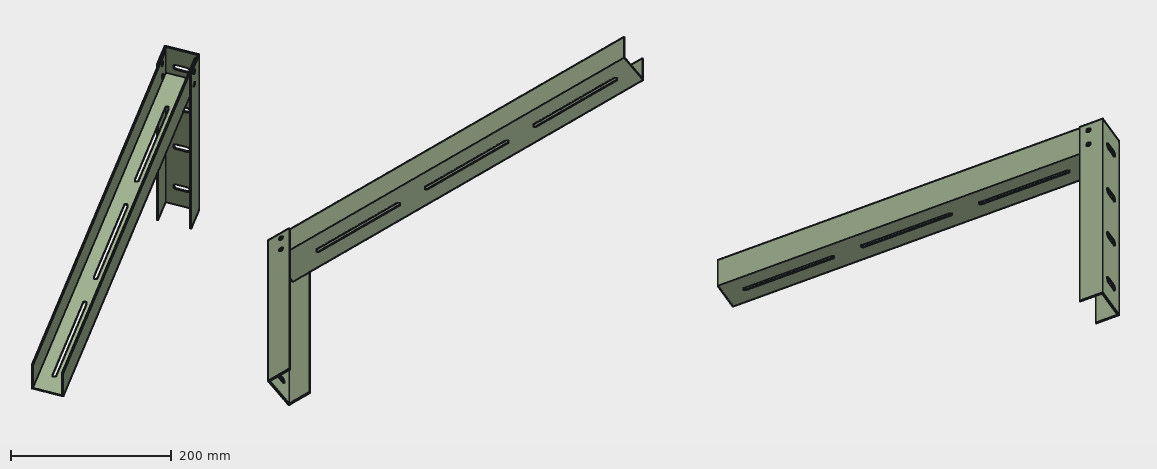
import cadquery as cq

INCH = 25.4
CUT_MARGIN = 5.0

bracket_width = 45.42
bracket_length = 540.64
sheet_thickness = 1.9

upright_height = 12.0 * INCH
upright_depth = 32.5

arm_length = 21.0 * INCH
arm_height = bracket_width
arm_width = bracket_width - 2 * sheet_thickness

wall_slot_length = 22.2
wall_slot_width = 9.3
wall_slot_inner_pitch = 77.2
wall_slot_outer_pitch = 234.5

arm_slot_count = 3
arm_slot_length = 5.0 * INCH
arm_slot_width = 0.1875 * INCH
arm_slot_pitch = arm_slot_length + 1.5 * INCH
arm_slot_front_margin = 1.0 * INCH

bolt_count = 2
bolt_diameter = 6.35
bolt_pitch = 24.5
first_bolt_drop = 11.3
bolt_setback = 20.0

back_y = bracket_length
top_z = upright_height
arm_bottom_z = top_z - arm_height


def box_between(x_range, y_range, z_range):
    """Box spanning the given (low, high) range along each axis."""
    sizes = [high - low for low, high in (x_range, y_range, z_range)]
    corner = (x_range[0], y_range[0], z_range[0])
    return cq.Workplane("XY").box(*sizes, centered=False).translate(corner)


def across(width):
    """Range of the given width, centred on X = 0."""
    return (-width / 2, width / 2)


def bolt_holes():
    """Cylinders along X through every flange."""
    hole_y = back_y - bolt_setback
    first_z = top_z - first_bolt_drop
    centres = [(hole_y, first_z - i * bolt_pitch) for i in range(bolt_count)]
    reach = bracket_width / 2 + CUT_MARGIN
    return cq.Workplane("YZ").pushPoints(centres).circle(bolt_diameter / 2).extrude(reach, both=True)


def wall_slots():
    """Column of horizontal slots: an inner and an outer pair, centred on the upright's mid-height."""
    pitches = (wall_slot_inner_pitch, wall_slot_outer_pitch)
    centres = [
        (0, upright_height / 2 + side * pitch / 2)
        for pitch in pitches
        for side in (-1, 1)
    ]
    return (
        cq.Workplane("XZ", origin=(0, back_y, 0))
        .pushPoints(centres)
        .slot2D(wall_slot_length, wall_slot_width)
        .extrude(sheet_thickness + CUT_MARGIN, both=True)
    )


def arm_slots():
    """Row of lengthwise slots in the arm's floor, set out from the arm's front end."""
    first_y = arm_slot_front_margin + arm_slot_length / 2
    centres = [(0, first_y + i * arm_slot_pitch) for i in range(arm_slot_count)]
    return (
        cq.Workplane("XY", origin=(0, 0, arm_bottom_z))
        .pushPoints(centres)
        .slot2D(arm_slot_length, arm_slot_width, 90)
        .extrude(sheet_thickness + CUT_MARGIN, both=True)
    )


def make_upright():
    front_y = back_y - upright_depth
    blank = box_between(across(bracket_width), (front_y, back_y), (0, top_z))
    inside = box_between(
        across(bracket_width - 2 * sheet_thickness),
        (front_y - CUT_MARGIN, back_y - sheet_thickness),
        (-CUT_MARGIN, top_z + CUT_MARGIN),
    )
    return blank.cut(inside).cut(wall_slots()).cut(bolt_holes())


def make_arm():
    blank = box_between(across(arm_width), (0, arm_length), (arm_bottom_z, top_z))
    inside = box_between(
        across(arm_width - 2 * sheet_thickness),
        (-CUT_MARGIN, arm_length + CUT_MARGIN),
        (arm_bottom_z + sheet_thickness, top_z + CUT_MARGIN),
    )
    return blank.cut(inside).cut(arm_slots()).cut(bolt_holes())


upright = make_upright()
arm = make_arm()

result = cq.Compound.makeCompound([upright.val(), arm.val()])